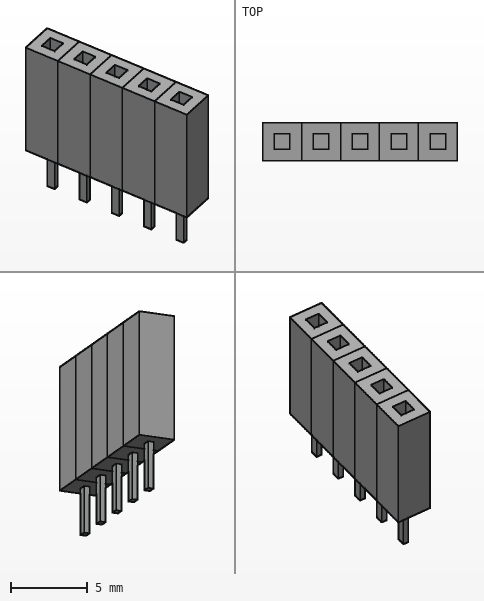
import cadquery as cq

ways = 5
row_length = 12.7
pitch = row_length / ways
housing_depth = 2.5
total_height = 11.7
pin_length = 3.2
housing_height = total_height - pin_length
pin_width = 0.6
pin_thickness = 0.4
socket_size = 1.0
socket_depth = housing_height / 2


def make_housing(center_x):
    """One housing block, standing on Z = 0, with a blind square socket in its top."""
    block = cq.Workplane("XY").center(center_x, 0).rect(pitch, housing_depth).extrude(housing_height)
    socket = (
        cq.Workplane("XY", origin=(center_x, 0, housing_height))
        .rect(socket_size, socket_size)
        .extrude(-socket_depth)
    )
    return block.cut(socket)


def make_pin(center_x):
    """One flat pin hanging from the underside of its housing block."""
    return cq.Workplane("XY").center(center_x, 0).rect(pin_width, pin_thickness).extrude(-pin_length)


way_centers = [(i - (ways - 1) / 2) * pitch for i in range(ways)]
housings = [make_housing(x).val() for x in way_centers]
pins = [make_pin(x).val() for x in way_centers]

result = cq.Compound.makeCompound([*housings, *pins])